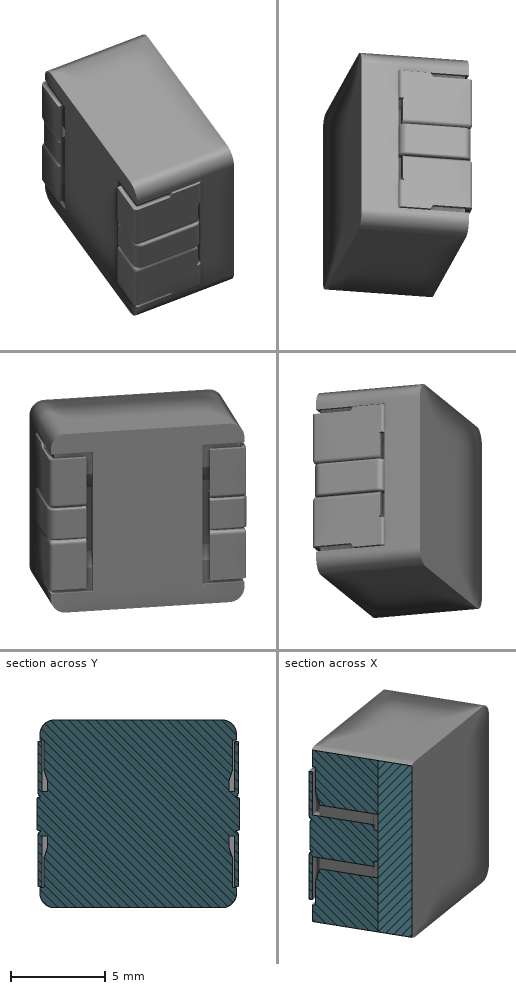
import cadquery as cq


core_width = 10.48
core_height = 10.0
corner_radius = 0.8
cover_depth = 2.0
base_depth = 3.82
core_side = core_width / 2
core_front = -base_depth

recess_half_height = 3.91
recess_front_depth = 0.17
recess_side_depth = 0.22
recess_end = 2.96
recess_floor_x = core_side - recess_side_depth
recess_floor_y = core_front + recess_front_depth

groove_floor_half = 1.79
groove_front_half = 2.61
groove_side_half = 2.34
groove_front_depth = 0.28
groove_side_depth = 0.18
groove_floor_x = recess_floor_x - groove_side_depth
groove_floor_y = recess_floor_y + groove_front_depth

foot_end = 3.35
sheet = 0.24
leg_width = 0.3
pad_side = 5.34
pad_front = core_front - 0.18
pad_bend_radius = 0.18
pad_edge_radius = 0.23
pad_inner_z = 0.9
pad_outer_z = 3.65
pad_setback = 0.22
tab_inner_z = 2.34
tab_outer_z = 3.87
tab_length = 1.72
tab_taper = 0.14
tab_bend_radius = 0.16
relief_width = 0.06
relief_depth = 0.05

strip_side = 5.4
strip_front = core_front - 0.13
strip_half_height = pad_inner_z
strip_bend_radius = 0.41
strip_edge_radius = 0.13


def block(x_range, y_range, z_range):
    """Box between the given limits."""
    limits = (x_range, y_range, z_range)
    size = [high - low for low, high in limits]
    return cq.Workplane("XY").box(*size, centered=False).translate([low for low, high in limits])


def core_slab(y_start, depth):
    """Rounded rectangle in XZ that extends from y_start toward +Y."""
    slab = block((-core_side, core_side), (y_start, y_start + depth), (-core_height / 2, core_height / 2))
    return slab.edges("|Y").fillet(corner_radius)


def recess():
    """Left recess together with its groove."""
    z_range = (-recess_half_height, recess_half_height)
    side = block((-core_width, -recess_floor_x), (-2 * base_depth, 0), z_range)
    front = block((-core_width, -recess_end), (-2 * base_depth, recess_floor_y), z_range)
    side_groove = (
        cq.Workplane("XZ")
        .polyline([
            (-recess_floor_x, -groove_side_half),
            (-recess_floor_x, groove_side_half),
            (-groove_floor_x, groove_floor_half),
            (-groove_floor_x, -groove_floor_half),
        ])
        .close()
        .extrude(base_depth)
    )
    front_groove = (
        cq.Workplane("YZ")
        .workplane(offset=-core_side)
        .polyline([
            (recess_floor_y, -groove_front_half),
            (recess_floor_y, groove_front_half),
            (groove_floor_y, groove_floor_half),
            (groove_floor_y, -groove_floor_half),
        ])
        .close()
        .extrude(core_side - recess_end)
    )
    return side.union(front).union(side_groove).union(front_groove)


def wrap(x_side, y_front, front_bend, joint_bend, z_range):
    """Block over the left front edge of the base, rounded at the front and at the joint."""
    body = block((-x_side, -foot_end), (y_front, 0), z_range)
    body = body.faces("<X").edges(">Y").fillet(joint_bend)
    return body.faces("<Y").edges("<X").fillet(front_bend)


def pad():
    """Upper left pad: bent sheet with a tab at the joint and a leg down into the groove."""
    z_range = (pad_inner_z, tab_outer_z)
    body = wrap(pad_side, pad_front, pad_bend_radius, tab_bend_radius, z_range)
    body = body.faces("<Z").edges("<Y").fillet(pad_edge_radius)

    hollow_z = (pad_inner_z + leg_width, core_height)
    body = body.cut(block((sheet - pad_side, 0), (pad_front + sheet, -sheet), hollow_z))

    body = body.cut(block((-groove_floor_x, 0), (groove_floor_y, base_depth), z_range))

    whole_width = (-core_width, 0)
    body = body.cut(block(whole_width, (-pad_setback, base_depth), (0, tab_inner_z)))
    relief_y = (-pad_setback - relief_depth, base_depth)
    body = body.cut(block(whole_width, relief_y, (tab_inner_z - relief_width, tab_inner_z)))

    trim = (
        cq.Workplane("YZ")
        .workplane(offset=-core_width)
        .polyline([
            (-tab_length, tab_outer_z),
            (-tab_length - tab_taper, pad_outer_z),
            (pad_front, pad_outer_z),
            (pad_front, tab_outer_z),
        ])
        .close()
        .extrude(core_width)
    )
    return body.cut(trim)


def strip():
    """Left middle strip, resting on the groove floor."""
    z_range = (-strip_half_height, strip_half_height)
    body = wrap(strip_side, strip_front, strip_bend_radius, strip_bend_radius, z_range)
    body = body.faces("<Z or >Z").edges("<Y").fillet(strip_edge_radius)
    return body.cut(block((-groove_floor_x, 0), (groove_floor_y, base_depth), z_range))


def build_base():
    """Lower core with a terminal on each side."""
    core = core_slab(core_front, base_depth)
    core = core.cut(recess()).cut(recess().mirror("YZ"))
    upper_pad = pad()
    for piece in (upper_pad, upper_pad.mirror("XY"), strip()):
        core = core.union(piece).union(piece.mirror("YZ"))
    return core


cover = core_slab(0, cover_depth)
base = build_base()
result = cq.Compound.makeCompound([cover.val(), base.val()])